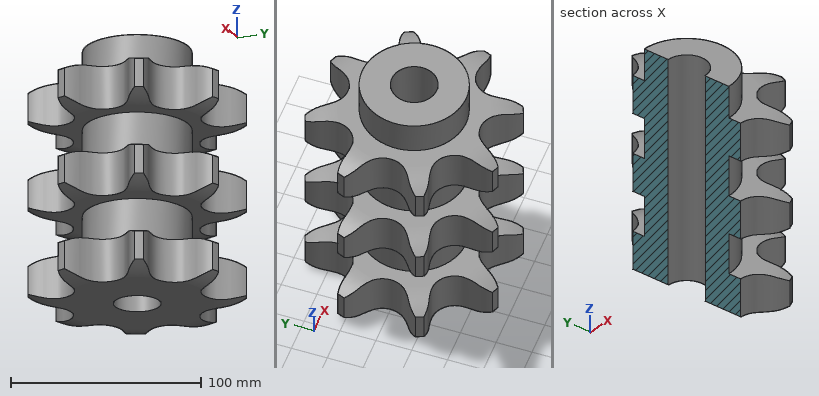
import cadquery as cq
import math


TOTAL_HEIGHT = 140.0
HUB_DIAMETER = 58.0
BORE_DIAMETER = 25.0
TOOTH_COUNT = 8
CHAIN_PITCH = 38.1
ROLLER_DIAMETER = 25.3
TIP_DIAMETER = 115.0
STRAND_COUNT = 3
STRAND_SPACING = 48.3
TOOTH_WIDTH = 23.8
CROWN_START_RADIUS = 40.6
CROWN_DEPTH = 4.0
CUTTER_OVERSHOOT = 1.1

HALF_TOOTH_ANGLE = 180 / TOOTH_COUNT
PITCH_RADIUS = CHAIN_PITCH / math.sin(math.radians(HALF_TOOTH_ANGLE)) / 2
TIP_RADIUS = TIP_DIAMETER / 2
SEAT_RADIUS = 0.5025 * ROLLER_DIAMETER
WORKING_CENTER_OFFSET = 0.8 * ROLLER_DIAMETER
WORKING_RADIUS = SEAT_RADIUS + WORKING_CENTER_OFFSET
TOPPING_CENTER_OFFSET = 1.4 * ROLLER_DIAMETER
SEAT_END_ANGLE = 35 + 60 / TOOTH_COUNT
FLANK_ANGLE = SEAT_END_ANGLE - (18 - 56 / TOOTH_COUNT)


def offset(origin, distance, angle):
    """Point at a distance from origin, with the angle in degrees below +X."""
    turn = math.radians(angle)
    return origin[0] + distance * math.cos(turn), origin[1] - distance * math.sin(turn)


def mirrored(point):
    """Same point on the other side of the gap's center line."""
    return -point[0], point[1]


def tip_point(center, radius):
    """Where the topping arc, left of its center, meets the tip circle."""
    distance = math.hypot(*center)
    along = (distance**2 + TIP_RADIUS**2 - radius**2) / (2 * distance)
    across = math.sqrt(TIP_RADIUS**2 - along**2)
    unit_x = center[0] / distance
    unit_y = center[1] / distance
    return along * unit_x - across * unit_y, along * unit_y + across * unit_x


def tooth_gap():
    """Cutter for the gap centered on +Y, reaching past the tip circle."""
    seat_center = (0, PITCH_RADIUS)
    working_center = offset(seat_center, -WORKING_CENTER_OFFSET, SEAT_END_ANGLE)
    topping_center = offset(seat_center, TOPPING_CENTER_OFFSET, HALF_TOOTH_ANGLE)

    seat_end = offset(seat_center, SEAT_RADIUS, SEAT_END_ANGLE)
    working_middle = offset(working_center, WORKING_RADIUS, (SEAT_END_ANGLE + FLANK_ANGLE) / 2)
    working_end = offset(working_center, WORKING_RADIUS, FLANK_ANGLE)

    flank = math.radians(FLANK_ANGLE)
    topping_radius = (
        (topping_center[0] - working_end[0]) * math.cos(flank)
        - (topping_center[1] - working_end[1]) * math.sin(flank)
    )
    topping_start = offset(topping_center, -topping_radius, FLANK_ANGLE)
    topping_end = tip_point(topping_center, topping_radius)
    end_angle = math.degrees(
        math.atan2(topping_end[1] - topping_center[1], topping_center[0] - topping_end[0])
    )
    topping_middle = offset(topping_center, -topping_radius, (FLANK_ANGLE + end_angle) / 2)
    outside = (topping_end[0] * CUTTER_OVERSHOOT, topping_end[1] * CUTTER_OVERSHOOT)

    return (
        cq.Workplane("XY")
        .moveTo(*mirrored(seat_end))
        .threePointArc((0, PITCH_RADIUS - SEAT_RADIUS), seat_end)
        .threePointArc(working_middle, working_end)
        .lineTo(*topping_start)
        .threePointArc(topping_middle, topping_end)
        .lineTo(*outside)
        .lineTo(*mirrored(outside))
        .lineTo(*mirrored(topping_end))
        .threePointArc(mirrored(topping_middle), mirrored(topping_start))
        .lineTo(*mirrored(working_end))
        .threePointArc(mirrored(working_middle), mirrored(seat_end))
        .close()
        .extrude(TOOTH_WIDTH)
    )


def lower_half_blank():
    """Lower half of a plain disc on Z = 0, its underside curving up toward the rim."""
    return (
        cq.Workplane("XZ")
        .lineTo(CROWN_START_RADIUS, 0)
        .tangentArcPoint((TIP_RADIUS, CROWN_DEPTH), relative=False)
        .lineTo(TIP_RADIUS, TOOTH_WIDTH / 2)
        .lineTo(0, TOOTH_WIDTH / 2)
        .close()
        .revolve(360, (0, 0), (0, 1))
    )


def toothed_disc():
    """One strand of teeth standing on Z = 0."""
    lower_half = lower_half_blank()
    upper_half = lower_half.mirror("XY").translate((0, 0, TOOTH_WIDTH))
    disc = lower_half.union(upper_half)
    gap = tooth_gap()
    for index in range(TOOTH_COUNT):
        disc = disc.cut(gap.rotate((0, 0, 0), (0, 0, 1), index * 360 / TOOTH_COUNT))
    return disc


def sprocket():
    """Hub carrying all strands, with the bore through everything."""
    body = cq.Workplane("XY").circle(HUB_DIAMETER / 2).extrude(TOTAL_HEIGHT)
    disc = toothed_disc()
    for strand in range(STRAND_COUNT):
        body = body.union(disc.translate((0, 0, strand * STRAND_SPACING)))
    bore = cq.Workplane("XY").circle(BORE_DIAMETER / 2).extrude(TOTAL_HEIGHT)
    return body.cut(bore)


result = sprocket()